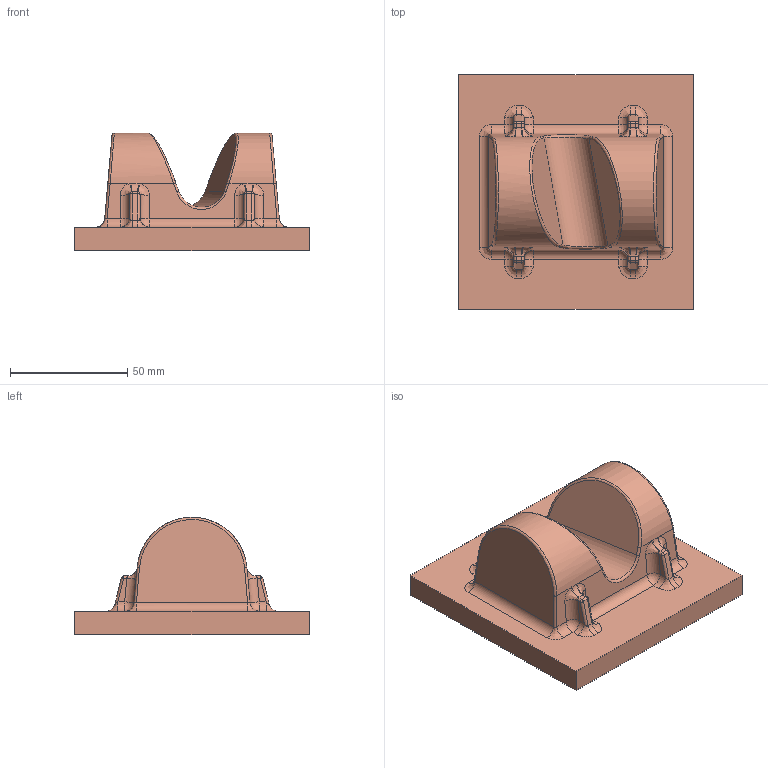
import cadquery as cq
import math

plate_side = 100.0
plate_thickness = 10.0

block_length = 75.0
block_width = 50.0
total_height = 50.0
draft = math.radians(5.0)

groove_radius = 10.0
groove_floor = 18.5
groove_wall_tilt = math.radians(18.5)
groove_turn = 10.0

rib_offset = 24.35
rib_width = 4.4
rib_reach = 33.6
rib_top = 25.0
rib_outer_tilt = math.radians(14.0)

edge_radius = 1.0
root_radius = 4.0

block_height = total_height - plate_thickness
half_width = block_width / 2
half_length = block_length / 2
top_half_length = half_length - block_height * math.tan(draft)

crown_radius = (half_width * math.cos(draft) - block_height * math.sin(draft)) / (1 - math.sin(draft))
crown_center = total_height - crown_radius
tangent_y = crown_radius * math.cos(draft)
tangent_z = crown_center + crown_radius * math.sin(draft)


def make_plate():
    return cq.Workplane("XY").box(plate_side, plate_side, plate_thickness, centered=(True, True, False))


def make_block():
    """Round-topped section along X, trimmed by the two drafted end faces."""
    body = (
        cq.Workplane("YZ")
        .moveTo(-half_width, plate_thickness)
        .lineTo(-tangent_y, tangent_z)
        .threePointArc((0, total_height), (tangent_y, tangent_z))
        .lineTo(half_width, plate_thickness)
        .close()
        .extrude(half_length, both=True)
    )
    ends = (
        cq.Workplane("XZ")
        .moveTo(-half_length, plate_thickness)
        .lineTo(-top_half_length, total_height)
        .lineTo(top_half_length, total_height)
        .lineTo(half_length, plate_thickness)
        .close()
        .extrude(half_width, both=True)
    )
    return body.intersect(ends).faces("<X or >X").edges("not <Z").fillet(edge_radius)


def make_groove():
    """Cutter with a round floor and flared walls, turned about Z."""
    center_z = groove_floor + groove_radius
    wall_x = groove_radius * math.cos(groove_wall_tilt)
    wall_z = center_z - groove_radius * math.sin(groove_wall_tilt)
    cutter_top = total_height + edge_radius
    mouth_x = wall_x + (cutter_top - wall_z) * math.tan(groove_wall_tilt)
    return (
        cq.Workplane("XZ")
        .moveTo(-mouth_x, cutter_top)
        .lineTo(-wall_x, wall_z)
        .threePointArc((0, groove_floor), (wall_x, wall_z))
        .lineTo(mouth_x, cutter_top)
        .close()
        .extrude(block_width, both=True)
        .rotate((0, 0, 0), (0, 0, 1), groove_turn)
    )


def make_rib():
    """Rib on the -Y side, centred on X = 0, with a sloped outer face, running into the block."""
    top_reach = rib_reach - (rib_top - plate_thickness) * math.tan(rib_outer_tilt)
    return (
        cq.Workplane("YZ")
        .moveTo(0, plate_thickness)
        .lineTo(-rib_reach, plate_thickness)
        .lineTo(-top_reach, rib_top)
        .lineTo(0, rib_top)
        .close()
        .extrude(rib_width / 2, both=True)
        .edges("(>X or <X or |X) and (not <Z) and (not >Y)")
        .fillet(edge_radius)
    )


def add_ribs(body):
    for side_turn in (0, 180):
        for x in (-rib_offset, rib_offset):
            body = body.union(make_rib().translate((x, 0, 0)).rotate((0, 0, 0), (0, 0, 1), side_turn))
    return body


def cut_groove(body):
    """Cut the groove and round its rim where it breaks out of the crown and the sides."""
    rim_reach = top_half_length - 2 * edge_radius
    rim_zone = cq.selectors.BoxSelector(
        (-rim_reach, -block_width, plate_thickness + root_radius),
        (rim_reach, block_width, total_height),
    )
    return body.cut(make_groove()).edges(rim_zone).edges("not #Z").fillet(edge_radius)


def round_roots(body):
    """Blend the block and ribs into the plate, and the ribs into the block."""
    margin = edge_radius / 10
    plate_joint = cq.selectors.BoxSelector(
        (-half_length - margin, -rib_reach - margin, plate_thickness - margin),
        (half_length + margin, rib_reach + margin, plate_thickness + margin),
    )
    roots = body.edges(plate_joint)

    rib_height = rib_top - plate_thickness
    wall_y = half_width - rib_height * math.tan(draft) / 2
    for side in (-1, 1):
        for x in (-rib_offset, rib_offset):
            rib_joint = cq.selectors.BoxSelector(
                (x - rib_width, side * (wall_y - edge_radius), plate_thickness + margin),
                (x + rib_width, side * (wall_y + edge_radius), rib_top + margin),
            )
            roots = roots.add(body.edges(rib_joint))
    return roots.fillet(root_radius)


block = add_ribs(cut_groove(make_block()))
result = round_roots(make_plate().union(block))